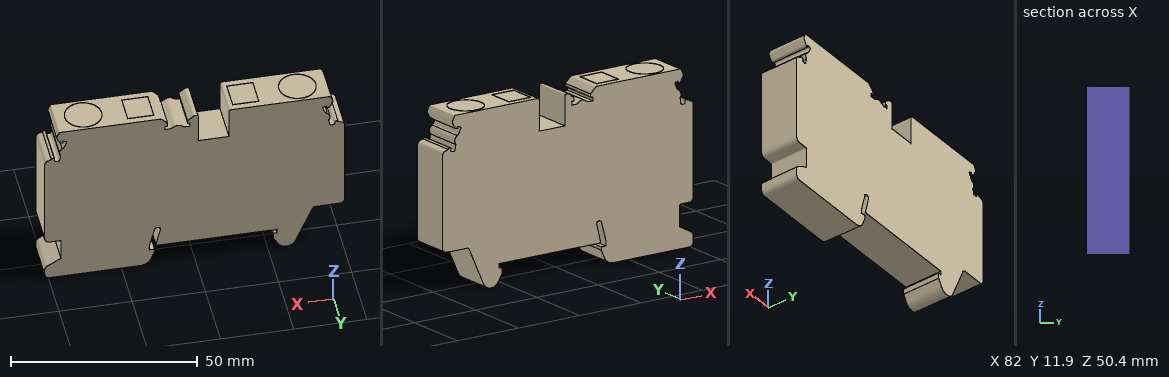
import cadquery as cq
import math

LENGTH = 82.0
THICKNESS = 11.9
HEIGHT = 50.4
MARGIN = 1.6

SHOULDER_Z = 40.7
SHOULDER_RADIUS = 1.2
SHOULDER_END = (1.8, 41.3)
LIP_Z = 41.65
LIP_LEFT = 2.1
LIP_RIGHT = 2.7
LIP_RADIUS = 0.25
GROOVE_FLOOR_Z = 40.4
GROOVE_RIGHT = 4.0
GROOVE_RADIUS = 0.5
NOSE_Z = 48.7
NOSE_X = 3.1
NOSE_RADIUS = 1.0
NECK_FOOT = (4.35, 42.2)
NECK_BULGE = (3.7, 43.5)
NECK_BULGE_RADIUS = 1.5
NECK_TOP = (4.75, 44.7)
NECK_STEP = (5.2, 44.85)
HOOK_POCKET_END = (6.15, 46.8)
HOOK_Z = 46.65
HOOK_LEFT = 4.3
HOOK_RIGHT = 5.0
HOOK_POCKET_Z = 47.15
GRIP_EDGE_RADIUS = 0.3
NOSE_TOP_X = 4.0
NOSE_TOP_RADIUS = 0.4

SLOT_LEFT = 31.65
SLOT_RIGHT = 40.0
SLOT_FLOOR_Z = 41.2
SLOT_EDGE_RADIUS = 0.6
FINGER_TOP_Z = 50.0
POCKET_CENTER = 45.7
POCKET_FLOOR_Z = 46.6
POCKET_HALF_WIDTH = 3.45
POCKET_MOUTH_HALF_WIDTH = 2.7
POCKET_STEP_Z = 47.6
POCKET_LIP_Z = 48.6
POCKET_LIP_RADIUS = 0.4
FLARE_HALF_WIDTH = 4.5
FLARE_RADIUS = 1.2
FINGER_RADIUS = 0.5
RIDGE_HALF_WIDTH = 1.8
RIDGE_PEAK_HEIGHT = 1.2
RIDGE_RADIUS = 2.0
RIDGE_FOOT_RADIUS = 1.2

UNDERSIDE_Z = 12.55
RAIL_Z = 6.3
CATCH_Z = 5.2
RAIL_LEFT = 18.5
RAIL_RIGHT = 51.75
LEFT_FOOT_RIGHT = 19.5
LEFT_FOOT_ROOT_X = 8.5
LEFT_FOOT_ROOT_RADIUS = 0.8
LEFT_FOOT_TIP_LEFT = 14.1
LEFT_FOOT_TIP_RIGHT = 17.55
LEFT_FOOT_BARB_Z = 3.45
FOOT_TIP_RADIUS = 2.6
RIGHT_FOOT_LEFT = 51.9
RIGHT_FOOT_BARB_Z = 4.3
RIGHT_FOOT_BASE_LEFT = 53.7
RIGHT_FOOT_HEEL_RADIUS = 3.3
RIGHT_FOOT_END_Z = 3.85
RAIL_EDGE_RADIUS = 0.3
RELIEF_BEND_Z = 6.65
RELIEF_TOP_LEFT = 50.2
RELIEF_TOP_RIGHT = 51.8
RELIEF_RIGHT = 53.4
RELIEF_TOP_RADIUS = 0.65
END_RECESS_X = 77.6
END_RECESS_RADIUS = 0.4
BOTTOM_CORNER_RADIUS = 1.3

MARK_DEPTH = 0.1
ROUND_MARK_OFFSET = 29.3
ROUND_MARK_DIAMETER = 10.1
SQUARE_MARK_OFFSET = 14.35
SQUARE_MARK_LENGTH = 7.1
SQUARE_MARK_WIDTH = 7.9


def rounded_prism(corners):
    """Closed X-Z outline through the housing thickness; each corner is (x, z) or (x, z, radius)."""
    starts, arcs = [], []
    count = len(corners)
    for i, corner in enumerate(corners):
        point = cq.Vector(corner[0], corner[1])
        if len(corner) == 2:
            starts.append(point)
            arcs.append(None)
            continue
        radius = corner[2]
        before = (cq.Vector(*corners[i - 1][:2]) - point).normalized()
        after = (cq.Vector(*corners[(i + 1) % count][:2]) - point).normalized()
        half_angle = before.getAngle(after) / 2
        tangent = radius / math.tan(half_angle)
        to_arc = radius / math.sin(half_angle) - radius
        starts.append(point + before * tangent)
        arcs.append((point + (before + after).normalized() * to_arc, point + after * tangent))

    outline = cq.Workplane("XZ").moveTo(starts[0].x, starts[0].y)
    for i in range(count):
        if i > 0:
            outline = outline.lineTo(starts[i].x, starts[i].y)
        if arcs[i]:
            middle, end = arcs[i]
            outline = outline.threePointArc((middle.x, middle.y), (end.x, end.y))
    return outline.close().extrude(THICKNESS / 2, both=True)


def end_grip():
    """Space outside the left end: sloped shoulder, small groove, bulged neck and hooked nose."""
    return rounded_prism([
        (-MARGIN, HEIGHT + MARGIN),
        (-MARGIN, SHOULDER_Z - SHOULDER_RADIUS),
        (0, SHOULDER_Z - SHOULDER_RADIUS),
        (0, SHOULDER_Z, SHOULDER_RADIUS),
        SHOULDER_END,
        (LIP_LEFT, LIP_Z, LIP_RADIUS),
        (LIP_RIGHT, LIP_Z, LIP_RADIUS),
        (LIP_RIGHT, GROOVE_FLOOR_Z, GROOVE_RADIUS),
        (GROOVE_RIGHT, GROOVE_FLOOR_Z, GROOVE_RADIUS),
        NECK_FOOT,
        (*NECK_BULGE, NECK_BULGE_RADIUS),
        NECK_TOP,
        (*NECK_STEP, GRIP_EDGE_RADIUS),
        (*HOOK_POCKET_END, GRIP_EDGE_RADIUS),
        (HOOK_RIGHT, HOOK_POCKET_Z),
        (HOOK_RIGHT, HOOK_Z),
        (HOOK_LEFT, HOOK_Z, GRIP_EDGE_RADIUS),
        (NOSE_X, NOSE_Z, NOSE_RADIUS),
        (NOSE_TOP_X, HEIGHT, NOSE_TOP_RADIUS),
        (NOSE_TOP_X + 2 * NOSE_TOP_RADIUS, HEIGHT),
        (NOSE_TOP_X + 2 * NOSE_TOP_RADIUS, HEIGHT + MARGIN),
    ])


def top_slot():
    """Open slot beside the finger, with a rounded edge on its outer side."""
    return rounded_prism([
        (SLOT_LEFT - 2 * SLOT_EDGE_RADIUS, HEIGHT + MARGIN),
        (SLOT_LEFT - 2 * SLOT_EDGE_RADIUS, HEIGHT),
        (SLOT_LEFT, HEIGHT, SLOT_EDGE_RADIUS),
        (SLOT_LEFT, SLOT_FLOOR_Z),
        (SLOT_RIGHT, SLOT_FLOOR_Z),
        (SLOT_RIGHT, FINGER_TOP_Z, FINGER_RADIUS),
        (POCKET_CENTER - FLARE_HALF_WIDTH, FINGER_TOP_Z, FINGER_RADIUS),
        (POCKET_CENTER - POCKET_MOUTH_HALF_WIDTH, POCKET_LIP_Z),
        (POCKET_CENTER, POCKET_LIP_Z),
        (POCKET_CENTER, HEIGHT + MARGIN),
    ])


def bridge_pocket():
    """Undercut pocket with a flared right side and a rounded ridge on its floor."""
    left = POCKET_CENTER - POCKET_HALF_WIDTH
    right = POCKET_CENTER + POCKET_HALF_WIDTH
    mouth_left = POCKET_CENTER - POCKET_MOUTH_HALF_WIDTH
    mouth_right = POCKET_CENTER + POCKET_MOUTH_HALF_WIDTH
    return rounded_prism([
        (mouth_left, POCKET_LIP_Z),
        (mouth_left, POCKET_STEP_Z, POCKET_LIP_RADIUS),
        (left, POCKET_STEP_Z),
        (left, POCKET_FLOOR_Z),
        (POCKET_CENTER - RIDGE_HALF_WIDTH, POCKET_FLOOR_Z, RIDGE_FOOT_RADIUS),
        (POCKET_CENTER, POCKET_FLOOR_Z + RIDGE_PEAK_HEIGHT, RIDGE_RADIUS),
        (POCKET_CENTER + RIDGE_HALF_WIDTH, POCKET_FLOOR_Z, RIDGE_FOOT_RADIUS),
        (right, POCKET_FLOOR_Z),
        (right, POCKET_STEP_Z),
        (mouth_right, POCKET_STEP_Z, POCKET_LIP_RADIUS),
        (mouth_right, POCKET_LIP_Z),
        (POCKET_CENTER + FLARE_HALF_WIDTH, HEIGHT, FLARE_RADIUS),
        (POCKET_CENTER + FLARE_HALF_WIDTH + FLARE_RADIUS, HEIGHT),
        (POCKET_CENTER + FLARE_HALF_WIDTH + FLARE_RADIUS, HEIGHT + MARGIN),
        (POCKET_CENTER, HEIGHT + MARGIN),
        (POCKET_CENTER, POCKET_LIP_Z),
    ])


def housing_blank():
    """Full-height plate with its underside shaped into the two rail feet."""
    return rounded_prism([
        (0, HEIGHT),
        (0, UNDERSIDE_Z, BOTTOM_CORNER_RADIUS),
        (LEFT_FOOT_ROOT_X, UNDERSIDE_Z, LEFT_FOOT_ROOT_RADIUS),
        (LEFT_FOOT_TIP_LEFT, 0, FOOT_TIP_RADIUS),
        (LEFT_FOOT_TIP_RIGHT, 0, FOOT_TIP_RADIUS),
        (LEFT_FOOT_RIGHT, LEFT_FOOT_BARB_Z),
        (LEFT_FOOT_RIGHT, CATCH_Z),
        (RAIL_LEFT, CATCH_Z),
        (RAIL_LEFT, RAIL_Z),
        (RAIL_RIGHT, RAIL_Z, RAIL_EDGE_RADIUS),
        (RELIEF_TOP_LEFT, UNDERSIDE_Z, RELIEF_TOP_RADIUS),
        (RELIEF_TOP_RIGHT, UNDERSIDE_Z, RELIEF_TOP_RADIUS),
        (RELIEF_RIGHT, RELIEF_BEND_Z),
        (RELIEF_RIGHT, CATCH_Z),
        (RIGHT_FOOT_LEFT, CATCH_Z),
        (RIGHT_FOOT_LEFT, RIGHT_FOOT_BARB_Z),
        (RIGHT_FOOT_BASE_LEFT, 0, RIGHT_FOOT_HEEL_RADIUS),
        (LENGTH, 0, BOTTOM_CORNER_RADIUS),
        (LENGTH, RIGHT_FOOT_END_Z, BOTTOM_CORNER_RADIUS),
        (END_RECESS_X, RAIL_Z),
        (END_RECESS_X, UNDERSIDE_Z, END_RECESS_RADIUS),
        (LENGTH, UNDERSIDE_Z, BOTTOM_CORNER_RADIUS),
        (LENGTH, HEIGHT),
    ])


def top_marks():
    """Round and square markings sunk slightly into the top face at both ends."""
    floor = cq.Workplane("XY", origin=(LENGTH / 2, 0, HEIGHT - MARK_DEPTH))
    rounds = (
        floor.pushPoints([(-ROUND_MARK_OFFSET, 0), (ROUND_MARK_OFFSET, 0)])
        .circle(ROUND_MARK_DIAMETER / 2)
        .extrude(MARGIN)
    )
    squares = (
        floor.pushPoints([(-SQUARE_MARK_OFFSET, 0), (SQUARE_MARK_OFFSET, 0)])
        .rect(SQUARE_MARK_LENGTH, SQUARE_MARK_WIDTH)
        .extrude(MARGIN)
    )
    return rounds.union(squares)


left_grip = end_grip()
right_grip = left_grip.mirror("YZ", (LENGTH / 2, 0, 0))

result = (
    housing_blank()
    .cut(left_grip)
    .cut(right_grip)
    .cut(top_slot())
    .cut(bridge_pocket())
    .cut(top_marks())
)